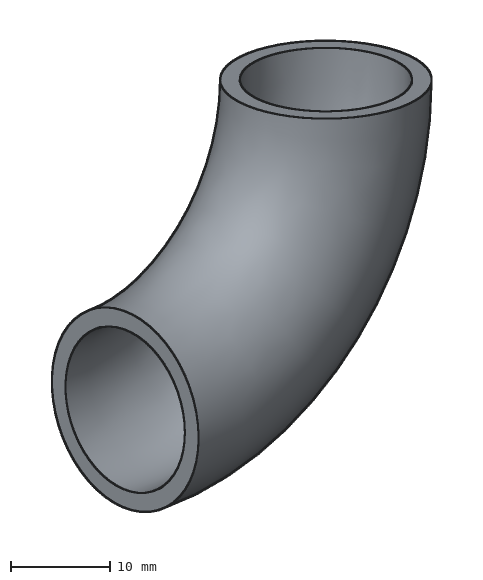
import cadquery as cq

overall_size = 38.65
outer_diameter = 21.3
inner_diameter = 17.3
bend_angle = 90.0

outer_radius = outer_diameter / 2
bend_radius = overall_size - outer_radius


def quarter_bend(diameter):
    """Solid round bar from the -Y opening, around the X axis, up to the +Z opening."""
    section = cq.Workplane("XZ").center(0, -bend_radius).circle(diameter / 2)
    return section.revolve(bend_angle, (0, bend_radius, 0), (1, bend_radius, 0))


result = quarter_bend(outer_diameter).cut(quarter_bend(inner_diameter))